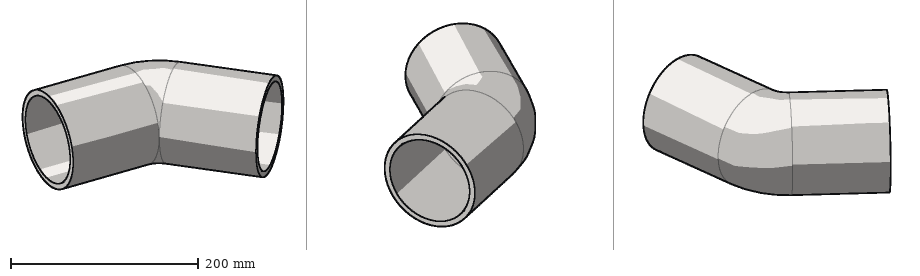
import cadquery as cq
import math

outer_diameter = 110.0
wall = 6.5
bend_angle = 45.0
overall_length = 259.0
throat_radius = 0.3
outlet_length = 107.2

outer_radius = outer_diameter / 2
inner_radius = outer_radius - wall
bend_radius = outer_radius + throat_radius
bend_radians = math.radians(bend_angle)
rim_reach = (bend_radius + outer_radius) * math.sin(bend_radians)
outlet_reach = rim_reach + outlet_length * math.cos(bend_radians)
inlet_length = overall_length - outlet_reach


def elbow(radius):
    """Solid elbow of the given pipe radius: inlet running along +Y, bend towards +X, then outlet."""
    inlet = cq.Workplane("XZ").circle(radius).extrude(inlet_length)
    bend = cq.Workplane("XZ").circle(radius).revolve(
        bend_angle, (bend_radius, 2.5, 0), (bend_radius, 0, 0)
    )
    outlet = (
        cq.Workplane("XZ")
        .circle(radius)
        .extrude(-outlet_length)
        .rotate((bend_radius, 0, 0), (bend_radius, 0, 1), -bend_angle)
    )
    return inlet.union(bend).union(outlet)


result = elbow(outer_radius).cut(elbow(inner_radius))